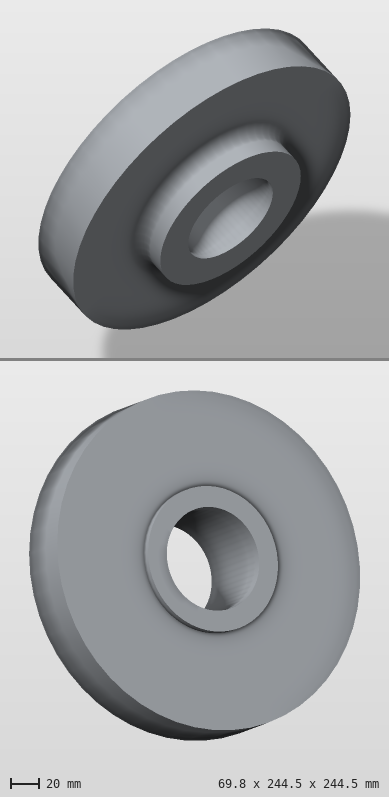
import cadquery as cq

flange_diameter = 244.475
flange_thickness = 41.275
raised_face_diameter = 104.775
raised_face_height = 6.35
hub_diameter = 123.825
overall_length = 69.85
bore_diameter = 74.6
hub_fillet_radius = 9.525

flange_front_x = raised_face_height
flange_back_x = flange_front_x + flange_thickness
hub_length = overall_length - flange_back_x


def disc(start_x, length, diameter):
    """Solid cylinder about the X axis, growing from start_x toward +X."""
    return cq.Workplane("YZ").workplane(offset=start_x).circle(diameter / 2).extrude(length)


def hub_fillet():
    """Ring with a concave quarter-round, blending the hub into the flange."""
    hub_radius = hub_diameter / 2
    tangent_x = flange_back_x + hub_fillet_radius
    tangent_radius = hub_radius + hub_fillet_radius
    return (
        cq.Workplane("XY")
        .moveTo(flange_back_x, hub_radius)
        .lineTo(tangent_x, hub_radius)
        .radiusArc((flange_back_x, tangent_radius), hub_fillet_radius)
        .close()
        .revolve(360, (0, 0, 0), (1, 0, 0))
    )


raised_face = disc(0, raised_face_height, raised_face_diameter)
flange = disc(flange_front_x, flange_thickness, flange_diameter)
hub = disc(flange_back_x, hub_length, hub_diameter)
bore = disc(0, overall_length, bore_diameter)

result = raised_face.union(flange).union(hub).union(hub_fillet()).cut(bore)